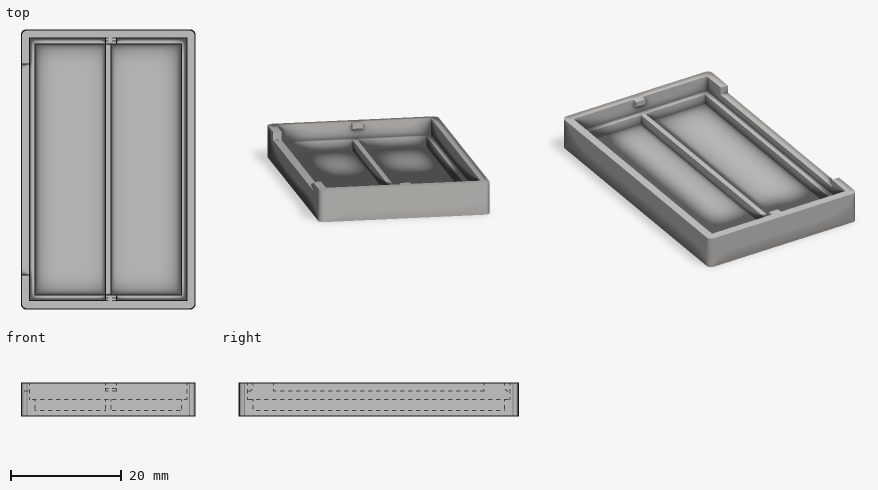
import cadquery as cq

width = 31.4
length = 50.4
height = 6.0
corner_radius = 1.0

wall = 1.5
ledge_width = 1.0
ledge_depth = 3.0
floor_thickness = 1.0

rib_width = 0.9

tab_width = 1.9
tab_thickness = 1.5
tab_chamfer = 0.5
tab_length = ledge_width

notch_length = 38.0
notch_depth = 1.5

ledge_z = height - ledge_depth
upper_width = width - 2 * wall
upper_length = length - 2 * wall
lower_width = upper_width - 2 * ledge_width
lower_length = upper_length - 2 * ledge_width


def block(size_x, size_y, bottom, top):
    """Box centred on the Z axis between two heights."""
    return (
        cq.Workplane("XY")
        .workplane(offset=bottom)
        .rect(size_x, size_y)
        .extrude(top - bottom)
    )


def make_tray():
    """Rounded outer block with the stepped cavity and its divider."""
    body = block(width, length, 0, height).edges("|Z").fillet(corner_radius)
    upper_recess = block(upper_width, upper_length, ledge_z, height)
    lower_recess = block(lower_width, lower_length, floor_thickness, ledge_z)
    divider = block(rib_width, lower_length, floor_thickness, ledge_z)
    return body.cut(upper_recess).cut(lower_recess).union(divider)


def make_tab(side):
    """Tab flush with the rim, its lower inner edge chamfered; its -X face lines up with the divider."""
    center_x = (tab_width - rib_width) / 2
    depth = wall + tab_length
    center_y = side * (length - depth) / 2
    inner_lower_edge = cq.selectors.NearestToPointSelector((0, -side * depth / 2, height - tab_thickness))
    tab = block(tab_width, depth, height - tab_thickness, height)
    tab = tab.edges(inner_lower_edge).chamfer(tab_chamfer)
    return tab.translate((center_x, center_y, 0))


def make_notch():
    """Opening through the top of the -X wall."""
    center_x = (wall - width) / 2
    return block(wall, notch_length, height - notch_depth, height).translate((center_x, 0, 0))


result = make_tray().cut(make_notch())
for end in (-1, 1):
    result = result.union(make_tab(end))